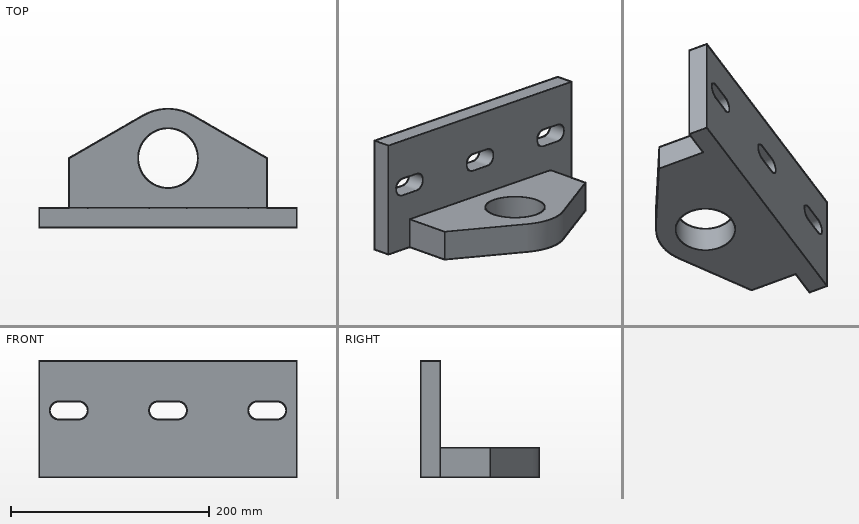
import cadquery as cq
import math

plate_length = 260.0
plate_thickness = 20.0
plate_height = 117.5

slot_length = 38.0
slot_width = 18.0
slot_pitch = 100.0
slot_drop = 50.0

total_depth = 120.0
lug_width = 200.0
lug_thickness = 30.2
nose_radius = 50.0
bore_diameter = 60.0
bore_y = total_depth - nose_radius


def make_plate():
    """Plate standing on Z = 0 with its front face at Y = 0."""
    return cq.Workplane("XY").box(
        plate_length, plate_thickness, plate_height, centered=(True, False, False)
    )


def make_lug():
    """Lug whose sloping sides run tangent into the round nose."""
    half_width = lug_width / 2
    tangent_angle = math.acos(nose_radius / half_width)
    tangent_x = nose_radius * math.cos(tangent_angle)
    tangent_y = bore_y + nose_radius * math.sin(tangent_angle)
    lug = (
        cq.Workplane("XY")
        .moveTo(-half_width, 0)
        .lineTo(half_width, 0)
        .lineTo(half_width, bore_y)
        .lineTo(tangent_x, tangent_y)
        .threePointArc((0, total_depth), (-tangent_x, tangent_y))
        .lineTo(-half_width, bore_y)
        .close()
        .extrude(lug_thickness)
    )
    bore = cq.Workplane("XY").center(0, bore_y).circle(bore_diameter / 2).extrude(lug_thickness)
    return lug.cut(bore)


def make_slots():
    """Row of three horizontal slots through the plate."""
    return (
        cq.Workplane("XZ")
        .center(0, plate_height - slot_drop)
        .rarray(slot_pitch, 2.5, 3, 1)
        .slot2D(slot_length, slot_width)
        .extrude(-plate_thickness)
    )


result = make_plate().union(make_lug()).cut(make_slots())